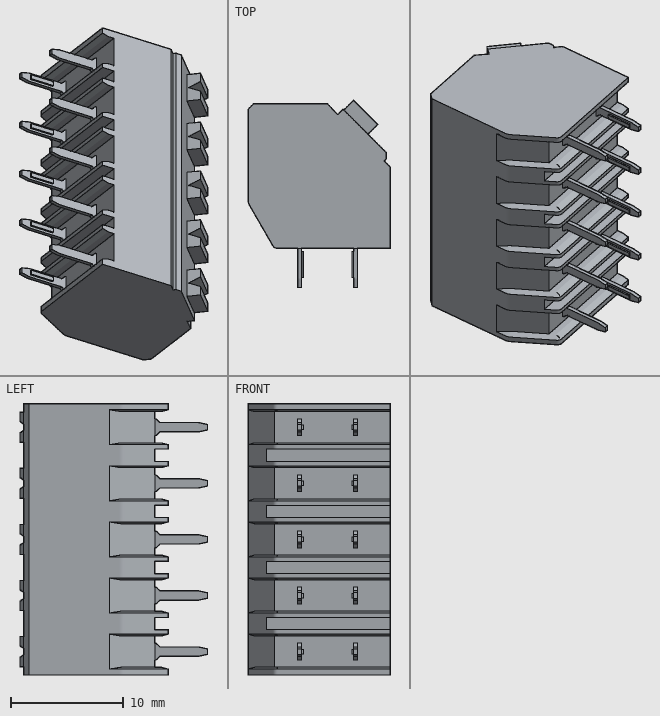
import cadquery as cq
import math


pole_count = 5
pole_pitch = 5.0
total_height = 24.2
pole_levels = [(i - (pole_count - 1) / 2) * pole_pitch for i in range(pole_count)]

body_width = 12.7
body_depth = 12.9
back_chamfer = 0.5
top_edge_end = 7.08
ledge_corner = (8.0, 11.93)
diagonal_start = (8.46, 12.42)
diagonal_end_x = 12.34
diagonal_end = (diagonal_end_x, diagonal_start[1] - (diagonal_end_x - diagonal_start[0]))
groove_top_y = 7.98
groove_corner = (12.14, 7.8)
front_face_top_y = 7.24

slant_top_y = 4.06
slant_angle = math.radians(30)
slant_foot_x = slant_top_y * math.tan(slant_angle)
back_round = 1.0
foot_round = 0.5

slant_recess_depth = 0.6
board_recess_depth = 1.2
recess_half_height = 1.56
rib_slope_width = 0.6
rib_slope_rise = 0.17
rib_root_y = 6.0
rib_thickness = pole_pitch - 2 * recess_half_height
end_plate_thickness = (total_height - (pole_count - 1) * pole_pitch) / 2 - recess_half_height
slot_height = 1.08

button_offset = 0.11
button_length = 3.06
button_rise = 1.24
button_height = 2.7
button_groove_width = 0.98
button_groove_depth = 1.08

pin_positions = ((4.6, 1), (9.6, -1))
pin_thickness = 0.36
pin_width = 0.85
pin_tip_y = -3.5
pin_taper_y = -2.7
pin_tip_width = 0.5
shoulder_width = 1.5
shoulder_end_y = 1.08
shoulder_taper_y = 0.74
bead_start_y = -0.27
bead_end_y = -2.6
bead_width = 0.4
bead_rise = 0.16


def slab(outline, z_bottom, height):
    """Extrude a closed XY outline upward from z_bottom."""
    return cq.Workplane("XY", origin=(0, 0, z_bottom)).polyline(outline).close().extrude(height)


def make_core():
    """Full-height housing without the ribs: its lower corner sits at the recess floor."""
    slant_start_y = slant_top_y + slant_recess_depth / math.sin(slant_angle)
    slant_end_x = (slant_start_y - board_recess_depth) * math.tan(slant_angle)
    outline = [
        (0, slant_start_y),
        (slant_end_x, board_recess_depth),
        (body_width, board_recess_depth),
        (body_width, front_face_top_y),
        groove_corner,
        (diagonal_end_x, groove_top_y),
        diagonal_end,
        diagonal_start,
        ledge_corner,
        (top_edge_end, body_depth),
        (back_chamfer, body_depth),
        (0, body_depth - back_chamfer),
    ]
    return slab(outline, -total_height / 2, total_height)


def rib_section(width):
    """Outline of a rib, with both corners of its slanted edge rounded."""
    outline = [
        (0, rib_root_y),
        (0, slant_top_y),
        (slant_foot_x, 0),
        (width, 0),
        (width, rib_root_y),
    ]
    sketch = cq.Sketch().polygon(outline + outline[:1])
    for corner, radius in ((outline[1], back_round), (outline[2], foot_round)):
        sketch = sketch.reset().vertices(cq.selectors.NearestToPointSelector((*corner, 0))).fillet(radius)
    return sketch.reset()


def make_rib_slope():
    """Sloped layer on a rib: full outline at Z = 0, set back along its free edges at the top."""
    section = rib_section(body_width + 2 * rib_slope_width)
    taper = math.degrees(math.atan2(rib_slope_width, rib_slope_rise))
    layer = cq.Workplane("XY").placeSketch(section).extrude(rib_slope_rise, taper=taper)
    trim = cq.Workplane("XY").box(body_width, rib_root_y, rib_slope_rise, centered=False)
    return layer.intersect(trim)


def make_rib(z_bottom, thickness, slope_below, slope_above):
    """Rib standing out of the core, thicker at its root by a slope on the chosen Z faces."""
    rib = cq.Workplane("XY").placeSketch(rib_section(body_width)).extrude(thickness)
    slope = make_rib_slope()
    if slope_above:
        rib = rib.union(slope.translate((0, 0, thickness)))
    if slope_below:
        rib = rib.union(slope.mirror("XY"))
    return rib.translate((0, 0, z_bottom))


def make_slot(z_level):
    """Cutter for the slot that splits a rib along its board edge."""
    slot = cq.Workplane("XY").box(body_width, board_recess_depth, slot_height, centered=False)
    return slot.translate((0, 0, z_level - slot_height / 2))


def make_button(z_level):
    """Push button on the diagonal face, with a V groove along its outer face."""
    along = cq.Vector(1, -1, 0).normalized()
    start = cq.Vector(*diagonal_start, z_level) + along * button_offset
    end_plane = cq.Plane(origin=start, xDir=(1, 1, 0), normal=along)
    half_height = button_height / 2
    half_groove = button_groove_width / 2
    outline = [
        (0, -half_height),
        (button_rise, -half_height),
        (button_rise, -half_groove),
        (button_rise - button_groove_depth, 0),
        (button_rise, half_groove),
        (button_rise, half_height),
        (0, half_height),
    ]
    return cq.Workplane(end_plane).polyline(outline).close().extrude(button_length)


def make_pin(x_center, z_level, bead_side):
    """Flat pin with a flared shoulder, a tapered tip and a bead along one side."""
    half_outline = [
        (shoulder_width / 2, board_recess_depth),
        (shoulder_width / 2, shoulder_end_y),
        (pin_width / 2, shoulder_taper_y),
        (pin_width / 2, pin_taper_y),
        (pin_tip_width / 2, pin_tip_y),
    ]
    mirrored_half = [(-z, y) for z, y in reversed(half_outline)]
    outline = [(y, z) for z, y in half_outline + mirrored_half]
    blade = (
        cq.Workplane("YZ", origin=(x_center, 0, z_level))
        .polyline(outline)
        .close()
        .extrude(pin_thickness / 2, both=True)
    )
    bead_reach = pin_thickness / 2 + bead_rise
    bead_length = bead_start_y - bead_end_y
    bead_center = (
        x_center + bead_side * bead_reach / 2,
        (bead_start_y + bead_end_y) / 2,
        z_level,
    )
    bead = cq.Workplane("XY").box(bead_reach, bead_length, bead_width).translate(bead_center)
    return blade.union(bead)


def make_block():
    """Housing with its ribs and slots, then one set of buttons and pins per pole."""
    half_total = total_height / 2
    block = make_core()
    block = block.union(make_rib(-half_total, end_plate_thickness, False, True))
    block = block.union(make_rib(half_total - end_plate_thickness, end_plate_thickness, True, False))

    for level in pole_levels[:-1]:
        block = block.union(make_rib(level + recess_half_height, rib_thickness, True, True))
        block = block.cut(make_slot(level + pole_pitch / 2))

    for level in pole_levels:
        block = block.union(make_button(level))
        for x_center, bead_side in pin_positions:
            block = block.union(make_pin(x_center, level, bead_side))
    return block


result = make_block()